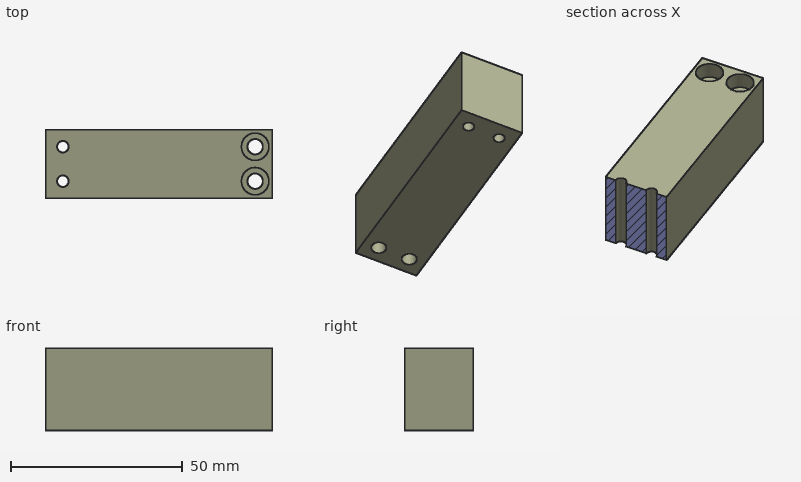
import cadquery as cq

length = 66.0
width = 20.0
height = 24.0

end_distance = 5.0
pair_spacing = 10.0
small_hole_diameter = 3.3
bolt_hole_diameter = 4.4
counterbore_diameter = 8.0
counterbore_depth = 5.0

hole_x = length / 2 - end_distance


def hole_pair(x):
    """Top-face workplane with the two hole centres at the given X."""
    centres = [(x, -pair_spacing / 2), (x, pair_spacing / 2)]
    return cq.Workplane("XY").workplane(offset=height).pushPoints(centres)


def cutters(x, diameter, depth):
    """Pair of cylinders reaching down from the top face."""
    return hole_pair(x).circle(diameter / 2).extrude(-depth)


block = cq.Workplane("XY").box(length, width, height, centered=(True, True, False))

block = block.cut(cutters(-hole_x, small_hole_diameter, height))

block = block.cut(cutters(hole_x, bolt_hole_diameter, height))
block = block.cut(cutters(hole_x, counterbore_diameter, counterbore_depth))

result = block